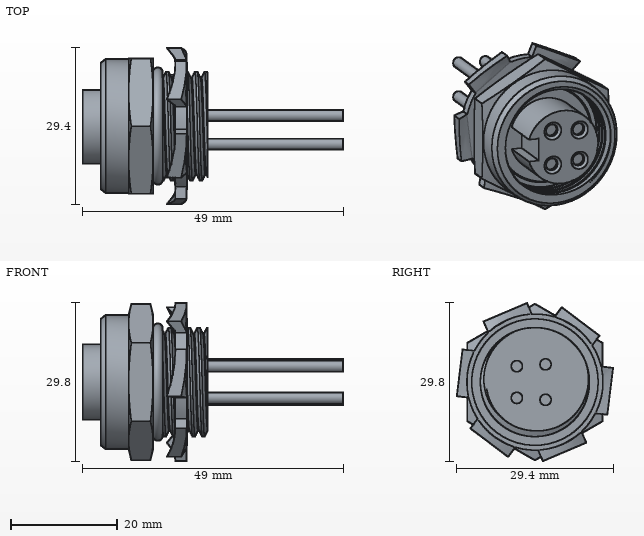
import cadquery as cq
import math


shell_front = 3.38
hex_front = 8.6
hex_back = 13.3
thread_start = 15.06
body_back = 23.5
pin_end = 49.0

shell_radius = 12.63
shell_chamfer_length = 0.95
shell_chamfer_depth = 0.75
hex_across_flats = 25.5
hex_corner_radius = hex_across_flats / math.sqrt(3)
hex_face_radius = 12.5
hex_bevel_length = 0.55

cavity_floor = 9.0
cavity_radius = 10.25
insert_radius = 7.13
key_width = 4.3
key_bottom_y = 4.8
gap_inner_radius = 9.2
gap_outer_radius = 9.36
gap_depth = 0.5

coupling_pitch = 1.5
coupling_major_radius = 11.05
coupling_mouth_width = 1.3
coupling_root_width = 0.2
coupling_start_angle = 30

o_ring_section_radius = 0.9
o_ring_center_x = 14.15
o_ring_center_radius = 10.15
neck_radius = 9.6

mount_pitch = 25.4 / 14
mount_root_radius = 9.15
mount_base_radius = mount_root_radius - 0.15
mount_crest_radius = 10.26
mount_base_width = 1.75
mount_crest_width = 0.45
mount_crest_x = 21.8
mount_crest_angle = 90

washer_front = 17.45
washer_back = 19.55
washer_radius = 12.8
washer_face_radius = 11.9
washer_face_height = 0.17
tooth_count = 6
tooth_first_angle = 7
tooth_half_width = 4.45
tooth_outer = 14.28
tooth_hinge = 12.15
tooth_inner = 10.0
tooth_front_lift = 1.62
tooth_back_lift = 1.02

contact_positions = [(2.0, 3.33), (2.0, -3.33), (-3.4, 2.98), (-3.4, -2.98)]
pin_radius = 1.05
socket_radius = 1.15
socket_mouth_radius = 1.7
socket_chamfer_length = 0.5
socket_depth = 1.2

overlap = 0.3


def cylinder(x_start, x_end, radius, y=0, z=0):
    """Cylinder parallel to X."""
    return cq.Workplane("YZ", origin=(x_start, y, z)).circle(radius).extrude(x_end - x_start)


def revolve_about_x(points):
    """Solid of revolution from (x, radius) points."""
    return cq.Workplane("XY").polyline(points).close().revolve(360, (0, 0, 0), (1, 0, 0))


def helical_bar(pitch, x_start, turns, start_angle, base_radius, tip_radius, base_width, tip_width):
    """Right-handed trapezoidal helical bar whose centre starts at x_start and start_angle."""
    helix = cq.Wire.makeHelix(pitch, pitch * turns, base_radius)
    bar = (
        cq.Workplane("XZ")
        .polyline([
            (base_radius, -base_width / 2),
            (tip_radius, -tip_width / 2),
            (tip_radius, tip_width / 2),
            (base_radius, base_width / 2),
        ])
        .close()
        .sweep(cq.Workplane(obj=helix), isFrenet=True)
    )
    along_x = bar.rotate((0, 0, 0), (0, 1, 0), 90)
    return along_x.rotate((0, 0, 0), (1, 0, 0), -90 - start_angle).translate((x_start, 0, 0))


def make_shell():
    """Round shell with a chamfered front rim."""
    chamfer_end = shell_front + shell_chamfer_length
    return revolve_about_x([
        (shell_front, 0),
        (shell_front, shell_radius - shell_chamfer_depth),
        (chamfer_end, shell_radius),
        (hex_front + overlap, shell_radius),
        (hex_front + overlap, 0),
    ])


def make_hex_flange():
    """Hexagon with corners on the Z axis, both faces bevelled."""
    length = hex_back - hex_front
    prism = (
        cq.Workplane("YZ", origin=(hex_front, 0, 0))
        .polygon(6, 2 * hex_corner_radius)
        .extrude(length)
        .rotate((0, 0, 0), (1, 0, 0), 90)
    )
    bevels = revolve_about_x([
        (hex_front, 0),
        (hex_front, hex_face_radius),
        (hex_front + hex_bevel_length, hex_corner_radius),
        (hex_back - hex_bevel_length, hex_corner_radius),
        (hex_back, hex_face_radius),
        (hex_back, 0),
    ])
    return prism.intersect(bevels)


def make_cavity():
    """Annular space around the insert, with its thread and the joint line in its floor."""
    cavity = cylinder(shell_front - overlap, cavity_floor, cavity_radius)
    turns = math.ceil((cavity_floor - shell_front) / coupling_pitch) + 1
    groove = helical_bar(
        coupling_pitch, shell_front - coupling_pitch, turns, coupling_start_angle,
        cavity_radius - overlap, coupling_major_radius, coupling_mouth_width, coupling_root_width,
    )
    groove = groove.intersect(cylinder(shell_front - overlap, cavity_floor, shell_radius))
    gap = cylinder(cavity_floor - overlap, cavity_floor + gap_depth, gap_outer_radius)
    gap = gap.cut(cylinder(cavity_floor - overlap, cavity_floor + gap_depth, gap_inner_radius))
    return cavity.union(groove).union(gap)


def make_insert():
    """Contact carrier with a keyway on its +Y side."""
    insert = cylinder(0, cavity_floor + overlap, insert_radius)
    key_depth = insert_radius - key_bottom_y + overlap
    keyway = cq.Workplane("XY").box(cavity_floor, key_depth, key_width, centered=(False, False, True))
    return insert.cut(keyway.translate((0, key_bottom_y, 0)))


def make_socket(y, z):
    """Blind contact hole with a countersunk mouth."""
    socket = revolve_about_x([
        (0, 0),
        (0, socket_mouth_radius),
        (socket_chamfer_length, socket_radius),
        (socket_depth, socket_radius),
        (socket_depth, 0),
    ])
    return socket.translate((0, y, z))


def make_o_ring():
    """Sealing ring behind the hexagon."""
    return (
        cq.Workplane("XY")
        .center(o_ring_center_x, o_ring_center_radius)
        .circle(o_ring_section_radius)
        .revolve(360, (-o_ring_center_x, -o_ring_center_radius, 0),
                 (1 - o_ring_center_x, -o_ring_center_radius, 0))
    )


def make_mount_thread():
    """Threaded barrel with the neck that carries the O-ring."""
    core = cylinder(hex_back - overlap, body_back, mount_root_radius)
    turns_before = math.ceil((mount_crest_x - thread_start) / mount_pitch) + 1
    turns_after = math.ceil((body_back - mount_crest_x) / mount_pitch) + 1
    ridge = helical_bar(
        mount_pitch, mount_crest_x - turns_before * mount_pitch, turns_before + turns_after,
        mount_crest_angle, mount_base_radius, mount_crest_radius,
        mount_base_width, mount_crest_width,
    )
    ridge = ridge.intersect(cylinder(thread_start, body_back, shell_radius))
    neck = cylinder(hex_back - overlap, o_ring_center_x, neck_radius)
    return core.union(ridge).union(neck)


def tooth_section(across, bend):
    """Tooth cross-section at one place along its width; bend runs from 0 to 1."""
    points = [
        (washer_front, tooth_inner),
        (washer_front, tooth_hinge),
        (washer_front - tooth_front_lift * bend, tooth_outer),
        (washer_back - tooth_back_lift * bend, tooth_outer),
        (washer_back, tooth_hinge),
        (washer_back, tooth_inner),
    ]
    return cq.Wire.makePolygon([cq.Vector(x, -radial, across) for x, radial in points], close=True)


def make_tooth():
    """Tooth on the -Y side; its lower edge curls toward the hexagon."""
    sections = [
        tooth_section(tooth_half_width, 0),
        tooth_section(0, 0.25),
        tooth_section(-tooth_half_width, 1),
    ]
    return cq.Workplane(obj=cq.Solid.makeLoft(sections))


def make_lock_washer():
    """Ring with a raised back face and evenly spaced bent teeth."""
    washer = cylinder(washer_front, washer_back, washer_radius)
    washer = washer.union(cylinder(washer_back - overlap, washer_back + washer_face_height, washer_face_radius))
    tooth = make_tooth()
    for index in range(tooth_count):
        angle = tooth_first_angle + index * 360 / tooth_count
        washer = washer.union(tooth.rotate((0, 0, 0), (1, 0, 0), -angle))
    return washer


body = make_shell().union(make_hex_flange()).cut(make_cavity())
body = body.union(make_insert())
body = body.union(make_mount_thread()).union(make_o_ring()).union(make_lock_washer())
for contact_y, contact_z in contact_positions:
    body = body.cut(make_socket(contact_y, contact_z))
    body = body.union(cylinder(body_back - overlap, pin_end, pin_radius, contact_y, contact_z))

result = body